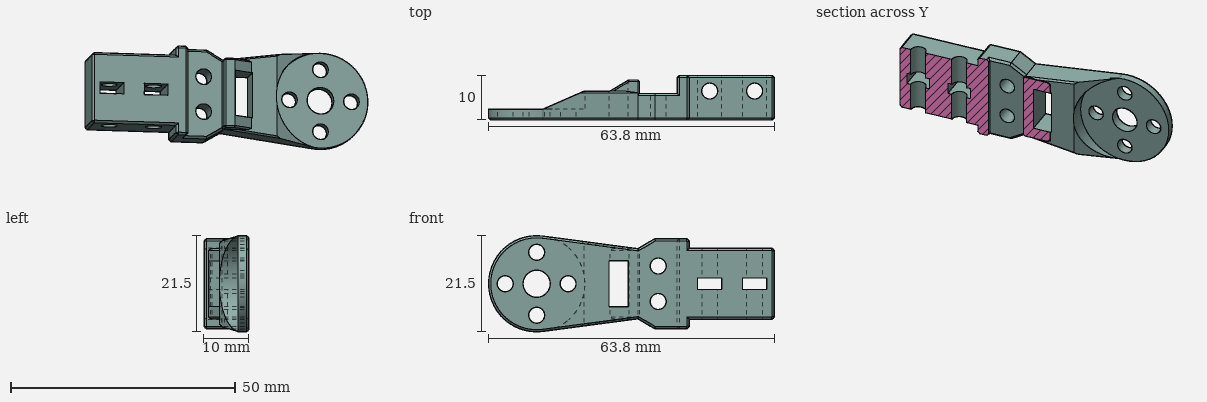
import cadquery as cq
import math

overall_length = 63.75
disc_radius = 10.74
tail_end = overall_length - disc_radius
chamfer = 0.5
small_chamfer = 0.4

disc_thickness = 2.5
arm_thickness = 6.5
head_thickness = 6.0
wedge_height = 9.0
full_thickness = 10.0

waist_x = 22.55
waist_half = 7.85
flare_end_x = 26.3
step_x = 31.3
shoulder_x = 34.05
head_half = 10.1
tail_half = 8.0
ramp_run = 9.2
wedge_start_x = 16.3
wedge_top_x = 20.5
wedge_end_x = 22.95
overlap = 1.3

hub_diameter = 6.0
screw_diameter = 3.5
hub_screw_radius = 7.0
head_screw_x = 27.1
head_screw_half_spacing = 3.95
window_start_x = 16.1
window_end_x = 20.4
window_half = 5.1
tail_station_xs = (38.6, 48.6)
tail_slot_length = 5.35
tail_slot_width = 2.55
cross_hole_y = 6.5


def block(x_start, x_end, y_end, half_width):
    """Box from the front face to y_end, symmetric about Z = 0."""
    return cq.Workplane("XY").box(
        x_end - x_start, y_end, 2 * half_width, centered=(False, False, True)
    ).translate((x_start, 0, 0))


def outline_plate(sketch, thickness):
    """Extrude an XZ outline backwards from the front face."""
    return sketch.extrude(-thickness)


def disc_and_arm():
    waist_distance = math.hypot(waist_x, waist_half)
    tangent_angle = math.atan2(waist_half, waist_x) + math.acos(disc_radius / waist_distance)
    tangent_x = disc_radius * math.cos(tangent_angle)
    tangent_z = disc_radius * math.sin(tangent_angle)
    outline = (
        cq.Workplane("XZ")
        .moveTo(tangent_x, tangent_z)
        .lineTo(waist_x, waist_half)
        .lineTo(waist_x, -waist_half)
        .lineTo(tangent_x, -tangent_z)
        .threePointArc((-disc_radius, 0), (tangent_x, tangent_z))
        .close()
    )
    arm = outline_plate(outline, arm_thickness)
    straight_sides = arm.faces(">Y").edges("%LINE").edges(">Z or <Z")
    arm = straight_sides.chamfer(small_chamfer)

    above_ramp = (
        cq.Workplane("XY")
        .polyline([
            (-2 * disc_radius, disc_thickness),
            (tangent_x, disc_thickness),
            (tangent_x + ramp_run, arm_thickness),
            (tangent_x + ramp_run, full_thickness),
            (-2 * disc_radius, full_thickness),
        ])
        .close()
        .extrude(2 * disc_radius, both=True)
    )
    scoop = (
        cq.Workplane("XZ", origin=(0, disc_thickness, 0))
        .circle(disc_radius)
        .extrude(-full_thickness)
    )
    return arm.cut(above_ramp).cut(scoop)


def wedge():
    base_y = head_thickness - chamfer
    profile = [
        (wedge_start_x, arm_thickness),
        (wedge_top_x, wedge_height),
        (wedge_end_x, wedge_height),
        (wedge_end_x, base_y),
        (wedge_start_x, base_y),
    ]
    body = cq.Workplane("XY").polyline(profile).close().extrude(waist_half, both=True)
    exposed_edges = body.edges("((<Z or >Z) and (not <Y) and (not <X)) or (>X and >Y)")
    return exposed_edges.chamfer(small_chamfer)


def head():
    inner_x = waist_x - overlap
    buried_x = shoulder_x - chamfer
    outline = cq.Workplane("XZ").polyline([
        (inner_x, waist_half - overlap),
        (waist_x, waist_half),
        (flare_end_x, head_half),
        (buried_x, head_half),
        (buried_x, -head_half),
        (flare_end_x, -head_half),
        (waist_x, -waist_half),
        (inner_x, overlap - waist_half),
    ]).close()
    flared_plate = outline_plate(outline, head_thickness).faces(">Y").edges().chamfer(chamfer)
    shoulder = block(step_x, shoulder_x, full_thickness, head_half)
    shoulder = shoulder.edges("|Y or >Y").chamfer(chamfer)
    return flared_plate.union(shoulder)


def tail():
    body = block(shoulder_x - overlap, tail_end, full_thickness, tail_half)
    return body.edges("(>X and (not <Y)) or (>Y and |X)").chamfer(chamfer)


def front_holes(points, diameter):
    return (
        cq.Workplane("XZ").pushPoints(points).circle(diameter / 2).extrude(-full_thickness)
    )


def openings():
    hub_screws = [
        (hub_screw_radius, 0), (-hub_screw_radius, 0),
        (0, hub_screw_radius), (0, -hub_screw_radius),
    ]
    head_screws = [(head_screw_x, side * head_screw_half_spacing) for side in (-1, 1)]
    window = block(window_start_x, window_end_x, full_thickness, window_half)
    tail_slots = (
        cq.Workplane("XZ")
        .pushPoints([(x, 0) for x in tail_station_xs])
        .rect(tail_slot_length, tail_slot_width)
        .extrude(-full_thickness)
    )
    cross_holes = (
        cq.Workplane("XY")
        .pushPoints([(x, cross_hole_y) for x in tail_station_xs])
        .circle(screw_diameter / 2)
        .extrude(head_half, both=True)
    )
    return (
        front_holes([(0, 0)], hub_diameter)
        .union(front_holes(hub_screws + head_screws, screw_diameter))
        .union(window)
        .union(tail_slots)
        .union(cross_holes)
    )


body = disc_and_arm().union(wedge()).union(head()).union(tail())
result = body.faces("<Y").edges().chamfer(chamfer).cut(openings())